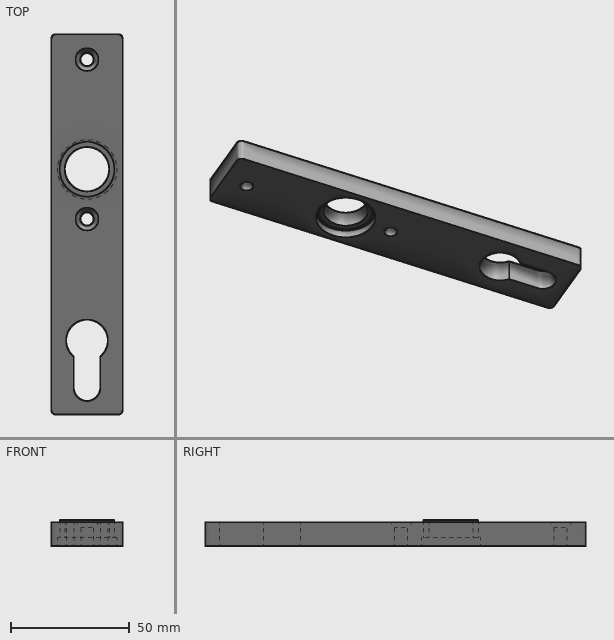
import cadquery as cq

length = 160.0
width = 30.0
total_height = 11.0
bush_projection = 1.0
thickness = total_height - bush_projection
corner_radius = 2.0

bush_y = 23.2
bush_bore = 18.5
bush_diameter = 23.0
bush_length = 7.4
bush_rim_round = 0.5
bush_bottom = total_height - bush_length
recess_diameter = 25.0

bush_to_lower_screw = 21.0
screw_spacing = 67.0
lower_screw_y = bush_y - bush_to_lower_screw
screw_ys = (lower_screw_y, lower_screw_y + screw_spacing)
screw_diameter = 5.5
countersink_diameter = 9.6
countersink_angle = 90.0

bush_to_keyhole = 72.0
keyhole_y = bush_y - bush_to_keyhole
keyhole_diameter = 17.5
keyhole_height = 34.0
slot_width = 11.0


def cylinder(diameter, y, bottom, top):
    """Upright cylinder on the plate's center line, between two heights."""
    return cq.Workplane("XY", origin=(0, y, bottom)).circle(diameter / 2).extrude(top - bottom)


def make_keyhole_cutter():
    """Round hole with a narrower, round-ended slot below it, through the plate."""
    slot_radius = slot_width / 2
    slot_end_y = keyhole_y + keyhole_diameter / 2 - keyhole_height
    arc_center_y = slot_end_y + slot_radius
    slot = (
        cq.Workplane("XY")
        .moveTo(-slot_radius, keyhole_y)
        .lineTo(-slot_radius, arc_center_y)
        .threePointArc((0, slot_end_y), (slot_radius, arc_center_y))
        .lineTo(slot_radius, keyhole_y)
        .close()
        .extrude(thickness)
    )
    return cylinder(keyhole_diameter, keyhole_y, 0, thickness).union(slot)


def make_plate():
    """Long plate with rounded corners, screw holes, stepped bush hole and keyhole."""
    blank = (
        cq.Workplane("XY")
        .box(width, length, thickness, centered=(True, True, False))
        .edges("|Z")
        .fillet(corner_radius)
    )
    drilled = (
        blank.faces(">Z")
        .workplane(origin=(0, 0, thickness))
        .pushPoints([(0, y) for y in screw_ys])
        .cskHole(screw_diameter, countersink_diameter, countersink_angle)
    )
    bush_seat = cylinder(bush_diameter, bush_y, bush_bottom, thickness)
    recess = cylinder(recess_diameter, bush_y, 0, bush_bottom)
    return drilled.cut(bush_seat).cut(recess).cut(make_keyhole_cutter())


def make_bush():
    """Plain sleeve standing slightly proud of the plate, with a rounded outer top rim."""
    blank = cylinder(bush_diameter, bush_y, bush_bottom, total_height)
    rounded = blank.faces(">Z").edges().fillet(bush_rim_round)
    return rounded.cut(cylinder(bush_bore, bush_y, bush_bottom, total_height))


plate = make_plate()
bush = make_bush()
result = cq.Compound.makeCompound([plate.val(), bush.val()])